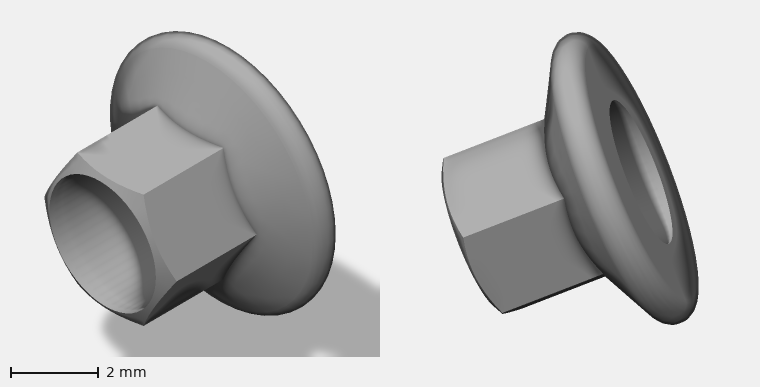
import cadquery as cq
import math


FLANGE_DIAMETER = 7.06
RIM_RADIUS = 0.41
LENGTH = 4.19
HEX_ACROSS_FLATS = 3.77
BORE_DIAMETER = 3.5
CONE_ANGLE = math.radians(30)

bore_radius = BORE_DIAMETER / 2
hex_across_corners = HEX_ACROSS_FLATS / math.cos(math.pi / 6)
corner_radius = hex_across_corners / 2
slope = math.tan(CONE_ANGLE)


def revolve_about_axis(profile):
    """Revolve a closed (radius, Y) profile about the Y axis."""
    return profile.close().revolve(360, (0, 0, 0), (0, 1, 0))


def make_flange():
    """Conical flange with a rounded rim, its cone running in to the bore radius."""
    rim_center = FLANGE_DIAMETER / 2 - RIM_RADIUS
    tangent_radius = rim_center + RIM_RADIUS * math.sin(CONE_ANGLE)
    tangent_depth = RIM_RADIUS * (1 + math.cos(CONE_ANGLE))
    cone_end_depth = tangent_depth + (tangent_radius - bore_radius) * slope
    profile = (
        cq.Workplane("XY")
        .lineTo(rim_center, 0)
        .threePointArc(
            (FLANGE_DIAMETER / 2, -RIM_RADIUS),
            (tangent_radius, -tangent_depth),
        )
        .lineTo(bore_radius, -cone_end_depth)
        .lineTo(0, -cone_end_depth)
    )
    return revolve_about_axis(profile)


def make_hexagon():
    """Hexagonal body from the flange face to the free end, with corners on the X axis."""
    return cq.Workplane("XZ").polygon(6, hex_across_corners).extrude(LENGTH)


def make_chamfer_envelope():
    """Round body whose conical free end bevels the hexagon corners down to the bore edge."""
    shoulder_depth = LENGTH - (corner_radius - bore_radius) * slope
    profile = (
        cq.Workplane("XY")
        .lineTo(corner_radius, 0)
        .lineTo(corner_radius, -shoulder_depth)
        .lineTo(bore_radius, -LENGTH)
        .lineTo(0, -LENGTH)
    )
    return revolve_about_axis(profile)


def make_bore():
    """Cylinder for the through hole."""
    return cq.Workplane("XZ").circle(bore_radius).extrude(LENGTH)


chamfered_hexagon = make_hexagon().intersect(make_chamfer_envelope())
result = make_flange().union(chamfered_hexagon).cut(make_bore())